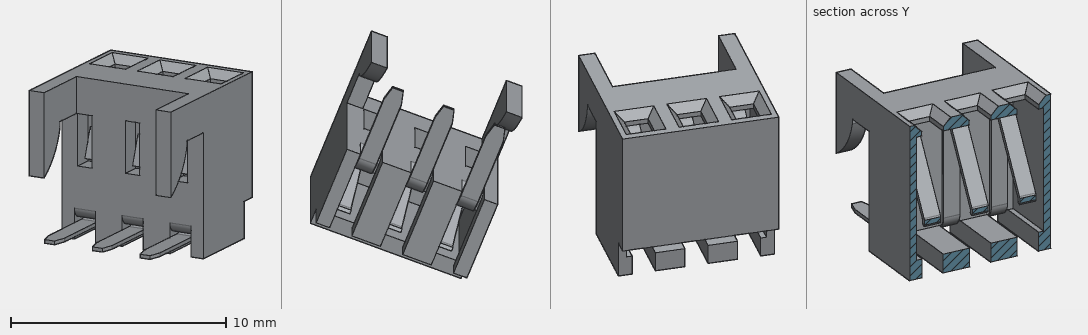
import cadquery as cq
import math


contact_count = 3
pitch = 2.535
contact_x = [(i - (contact_count - 1) / 2) * pitch for i in range(contact_count)]

width = 7.52
height = 7.87
body_depth = 4.68
step_depth = 0.76
step_height = 1.795
front_wall = 0.98

arm_thickness = 0.79
arm_length = 3.115
arm_height = 1.78
hook_start = 1.57
hook_straight = 0.24
hook_drop = 4.13
hook_mid_y = -2.07
hook_mid_z = 4.72

funnel_width = 1.91
funnel_length = 2.15
funnel_depth = 0.4
throat_width = 1.14
throat_length = 1.345
throat_depth = 0.24
throat_back = body_depth - step_depth
throat_centre_y = throat_back - throat_length / 2
cavity_end_wall = 0.395
cavity_top = height - funnel_depth - throat_depth

window_width = 0.76
window_height = 2.535
window_top = height - 1.78
notch_width = 1.11
notch_height = 0.98
notch_lip_radius = 0.515

strip_width = 0.86
strip_thickness = 0.185
tail_length = 3.37
tail_bottom = 0.685
tail_tip_width = 0.53
tail_taper = 0.65
tail_bend_radius = 0.63
fold_radius = 0.4
spring_slope = 30.0
nose_radius = 0.32
nose_clearance = 0.025

barb_width = 0.515
barb_top = height - 2.63
barb_height = 1.42
barb_slope = 20.0


def box(x_size, y_from, y_to, z_from, z_to, x_centre=0.0):
    """Box centred on x_centre in X, between the given limits in Y and Z."""
    block = cq.Workplane("XY").box(x_size, y_to - y_from, z_to - z_from, centered=(True, False, False))
    return block.translate((x_centre, y_from, z_from))


def make_body():
    """Side outline with the rear step and both hooks, opened between the latch arms."""
    outline = (
        cq.Workplane("YZ", origin=(-width / 2, 0, 0))
        .moveTo(0, 0)
        .lineTo(throat_back, 0)
        .lineTo(throat_back, step_height)
        .lineTo(body_depth, step_height)
        .lineTo(body_depth, height)
        .lineTo(-arm_length, height)
        .lineTo(-arm_length, height - hook_drop)
        .threePointArc((hook_mid_y, hook_mid_z), (-hook_start, height - arm_height - hook_straight))
        .lineTo(-hook_start, height - arm_height)
        .lineTo(0, height - arm_height)
        .close()
    )
    gap = box(width - 2 * arm_thickness, -arm_length, 0, 0, height)
    return outline.extrude(width).cut(gap)


def make_entry(x):
    """Tapered funnel and straight throat leading down to the cavity."""
    funnel = (
        cq.Workplane("XY", origin=(x, throat_centre_y, height))
        .rect(funnel_width, funnel_length)
        .workplane(offset=-funnel_depth)
        .rect(throat_width, throat_length)
        .loft(ruled=True)
    )
    throat_from = throat_centre_y - throat_length / 2
    throat = box(throat_width, throat_from, throat_back, cavity_top, height - funnel_depth, x)
    return funnel.union(throat)


def make_notch(x):
    """Slot through the foot of the body, with a rounded lip where it meets the front face."""
    slot = box(notch_width, 0, body_depth, 0, notch_height, x)
    lip = (
        cq.Workplane("YZ", origin=(x - notch_width / 2, 0, 0))
        .moveTo(0, notch_height)
        .lineTo(notch_lip_radius, notch_height)
        .radiusArc((0, notch_height + notch_lip_radius), notch_lip_radius)
        .close()
        .extrude(notch_width)
    )
    return slot.union(lip)


def on_bend(centre, radius, heading):
    """Point on a clockwise bend where the strip runs at this heading, in degrees from straight up."""
    angle = math.radians(heading)
    return (centre[0] - radius * math.cos(angle), centre[1] + radius * math.sin(angle))


def make_strip(x):
    """Flat tail, upright plate, fold at the top and a spring sloping back down to a round nose."""
    tail_z = tail_bottom + strip_thickness / 2
    plate_y = front_wall + strip_thickness / 2
    bend_y = plate_y - tail_bend_radius
    bend_z = tail_z + tail_bend_radius
    bend_mid = tail_bend_radius * math.sqrt(0.5)

    down = 180 - spring_slope
    fold_centre = (plate_y + fold_radius, window_top)
    nose_y = throat_back - nose_clearance - strip_thickness / 2 - nose_radius
    spring_start = on_bend(fold_centre, fold_radius, down)
    spring_end_y = on_bend((nose_y, 0), nose_radius, down)[0]
    spring_drop = (spring_end_y - spring_start[0]) / math.tan(math.radians(spring_slope))
    spring_end = (spring_end_y, spring_start[1] - spring_drop)
    nose_centre = (nose_y, spring_end[1] - nose_radius * math.sin(math.radians(down)))

    path = (
        cq.Workplane("YZ", origin=(x, 0, 0))
        .moveTo(-tail_length, tail_z)
        .lineTo(bend_y, tail_z)
        .threePointArc((bend_y + bend_mid, bend_z - bend_mid), (plate_y, bend_z))
        .lineTo(plate_y, window_top)
        .threePointArc(on_bend(fold_centre, fold_radius, down / 2), spring_start)
        .lineTo(*spring_end)
        .threePointArc(
            on_bend(nose_centre, nose_radius, 180),
            on_bend(nose_centre, nose_radius, 180 + spring_slope),
        )
    )
    section = cq.Workplane("XZ", origin=(x, -tail_length, tail_z)).rect(strip_width, strip_thickness)
    return section.sweep(path)


def make_tail_trim(x):
    """The two corner wedges removed to taper the end of a tail."""
    trim = cq.Workplane("XY")
    for side in (-1, 1):
        corner = (x + side * strip_width / 2, -tail_length)
        wedge = (
            cq.Workplane("XY")
            .polyline([
                corner,
                (corner[0], corner[1] + tail_taper),
                (x + side * tail_tip_width / 2, -tail_length),
            ])
            .close()
            .extrude(notch_height)
        )
        trim = trim.add(wedge)
    return trim.combine()


def make_barb(x):
    """Wedge on the plate front that slopes out into the window, square-ended at the bottom."""
    slope = math.tan(math.radians(barb_slope))
    reach = barb_height * slope
    return (
        cq.Workplane("YZ", origin=(x - barb_width / 2, 0, 0))
        .moveTo(front_wall, barb_top)
        .lineTo(front_wall - reach, barb_top - barb_height)
        .lineTo(front_wall, barb_top - barb_height - reach * slope)
        .close()
        .extrude(barb_width)
    )


housing = make_body()
cavity = box(width - 2 * cavity_end_wall, front_wall, throat_back, notch_height, cavity_top)
housing = housing.cut(cavity)
for x in contact_x:
    window = box(window_width, 0, front_wall, window_top - window_height, window_top, x)
    housing = housing.cut(make_entry(x)).cut(window).cut(make_notch(x))

result = housing
for x in contact_x:
    contact = make_strip(x).cut(make_tail_trim(x)).union(make_barb(x))
    result = result.union(contact)